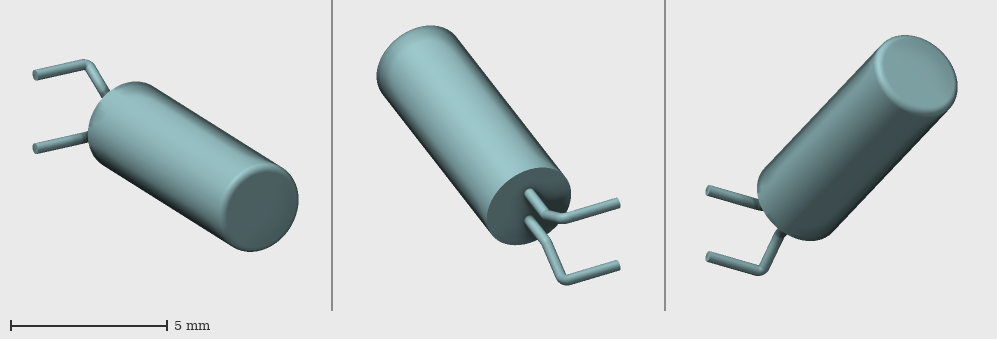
import cadquery as cq
import math

total_length = 11.02
can_diameter = 3.0
can_open_x = 2.7
can_wall = 0.1
can_end_fillet = 0.23

wire_diameter = 0.35
lead_pitch = 1.1
tip_pitch = 2.53
splay_angle = 30.0
bend_radius = 0.2
tip_y = -1.95

core_diameter = can_diameter - 2 * can_wall
core_length = total_length - can_open_x - can_wall
tip_x = wire_diameter / 2


def cylinder_along_x(start_x, diameter, length):
    return cq.Workplane("YZ", origin=(start_x, 0, 0)).circle(diameter / 2).extrude(length)


def make_core():
    """Solid core that fills the can, flush with its open end."""
    return cylinder_along_x(can_open_x, core_diameter, core_length)


def make_can():
    """Thin-walled can with a rounded closed end."""
    outer = cylinder_along_x(can_open_x, can_diameter, total_length - can_open_x)
    return outer.faces(">X").edges().fillet(can_end_fillet).cut(make_core())


def bend_points(before, corner, after):
    """Start, middle and end of the arc that rounds a corner of the wire."""
    back = (before - corner).normalized()
    ahead = (after - corner).normalized()
    half_angle = back.getAngle(ahead) / 2
    setback = bend_radius / math.tan(half_angle)
    middle_distance = bend_radius / math.sin(half_angle) - bend_radius
    middle = corner + (back + ahead).normalized() * middle_distance
    return corner + back * setback, middle, corner + ahead * setback


def make_lead(side):
    """Bent lead standing on the core face; side is +1 above and -1 below the axis."""
    splay_rise = (tip_pitch - lead_pitch) / 2
    splay_x = tip_x + splay_rise / math.tan(math.radians(splay_angle))
    root = cq.Vector(can_open_x, 0, side * lead_pitch / 2)
    splay_corner = cq.Vector(splay_x, 0, side * lead_pitch / 2)
    tip_corner = cq.Vector(tip_x, 0, side * tip_pitch / 2)
    tip = cq.Vector(tip_x, tip_y, side * tip_pitch / 2)

    splay_start, splay_middle, splay_end = bend_points(root, splay_corner, tip_corner)
    turn_start, turn_middle, turn_end = bend_points(splay_corner, tip_corner, tip)
    path = cq.Wire.assembleEdges([
        cq.Edge.makeLine(root, splay_start),
        cq.Edge.makeThreePointArc(splay_start, splay_middle, splay_end),
        cq.Edge.makeLine(splay_end, turn_start),
        cq.Edge.makeThreePointArc(turn_start, turn_middle, turn_end),
        cq.Edge.makeLine(turn_end, tip),
    ])
    section = cq.Workplane("YZ", origin=root.toTuple()).circle(wire_diameter / 2)
    return section.sweep(cq.Workplane(path))


can = make_can()
core = make_core()
leads = [make_lead(side) for side in (1, -1)]

result = cq.Compound.makeCompound([can.val(), core.val(), *[lead.val() for lead in leads]])